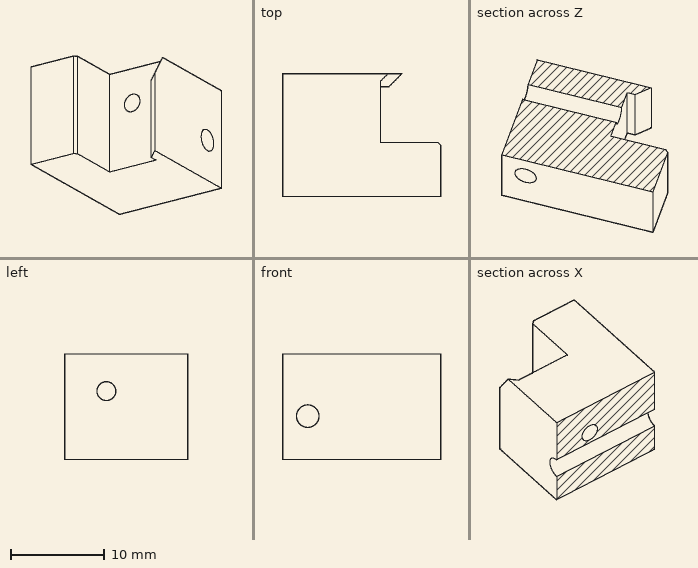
import cadquery as cq
import math

length = 17.02
depth = 13.22
height = 11.35

body_length = 10.54
arm_depth = 5.84
arm_chamfer = 0.32

lip_tip_x = 12.83
lip_width = 1.41

cut_top_x = 11.34
cut_drop = 2.37

front_hole_diameter = 2.4
front_hole_x = 2.7
front_hole_z = 4.66
side_hole_diameter = 2.0
side_hole_y = 8.75
side_hole_z = 7.35


def make_body():
    outline = [
        (0, 0),
        (length, 0),
        (length, arm_depth - arm_chamfer),
        (length - arm_chamfer, arm_depth),
        (body_length, arm_depth),
        (body_length, depth),
        (0, depth),
    ]
    return cq.Workplane("XY").polyline(outline).close().extrude(height)


def make_lip():
    outline = [
        (body_length, depth - lip_width),
        (lip_tip_x - lip_width, depth - lip_width),
        (lip_tip_x, depth),
        (body_length, depth),
    ]
    lip = cq.Workplane("XY").polyline(outline).close().extrude(height)
    return lip.cut(make_lip_cut())


def make_lip_cut():
    section = cq.Plane(origin=(cut_top_x, depth, height), xDir=(1, -1, 0), normal=(-1, -1, 0))
    across = (lip_tip_x - cut_top_x) / math.sqrt(2)
    overrun = 2 * lip_width
    return (
        cq.Workplane(section)
        .polyline([(0, 0), (across, 0), (across, -cut_drop)])
        .close()
        .extrude(overrun, both=True)
    )


def make_front_hole():
    return (
        cq.Workplane("XZ")
        .center(front_hole_x, front_hole_z)
        .circle(front_hole_diameter / 2)
        .extrude(-depth)
    )


def make_side_hole():
    return (
        cq.Workplane("YZ")
        .center(side_hole_y, side_hole_z)
        .circle(side_hole_diameter / 2)
        .extrude(length)
    )


result = make_body().union(make_lip()).cut(make_front_hole()).cut(make_side_hole())